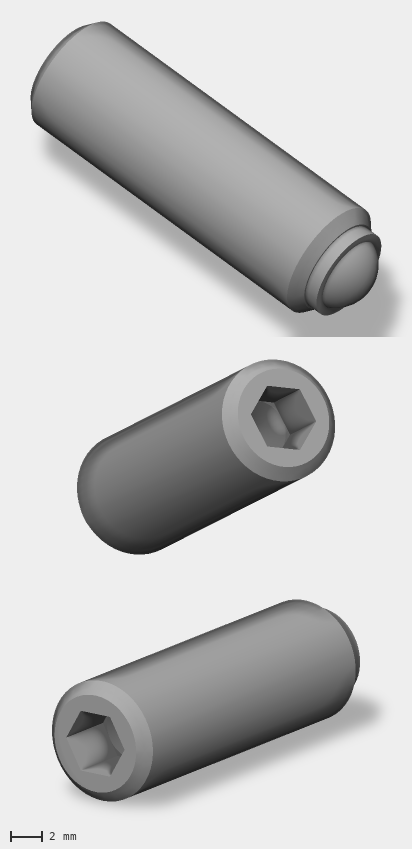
import cadquery as cq
import math

body_radius = 8.0 / 2
body_length = 23.65
end_chamfer = 0.77

collar_radius = 6.2 / 2
collar_length = 0.95
overall_length = 26.2
ball_radius = 5.55 / 2

socket_across_flats = 4.0
socket_depth = 4.0
drill_point_angle = 100.0


def make_screw():
    """Chamfered body, collar and exposed ball cap, revolved about the X axis."""
    end_face_radius = body_radius - end_chamfer
    collar_end = body_length + collar_length
    ball_center = overall_length - ball_radius

    ball_exit_radius = math.sqrt(ball_radius**2 - (collar_end - ball_center) ** 2)
    mid_angle = math.atan2(ball_exit_radius, collar_end - ball_center) / 2
    cap_middle = (
        ball_center + ball_radius * math.cos(mid_angle),
        ball_radius * math.sin(mid_angle),
    )

    half_profile = (
        cq.Workplane("XY")
        .moveTo(0, 0)
        .lineTo(0, end_face_radius)
        .lineTo(end_chamfer, body_radius)
        .lineTo(body_length - end_chamfer, body_radius)
        .lineTo(body_length, end_face_radius)
        .lineTo(body_length, collar_radius)
        .lineTo(collar_end, collar_radius)
        .lineTo(collar_end, ball_exit_radius)
        .threePointArc(cap_middle, (overall_length, 0))
        .close()
    )
    return half_profile.revolve(360, (0, 0, 0), (1, 0, 0))


def make_socket_hexagon():
    """Hexagonal recess with two corners on the Y axis."""
    across_corners = socket_across_flats / math.cos(math.pi / 6)
    return cq.Workplane("YZ").polygon(6, across_corners).extrude(socket_depth)


def make_socket_drill_point():
    """Cone at the bottom of the hexagon, as wide as its flats."""
    drill_radius = socket_across_flats / 2
    point_length = drill_radius / math.tan(math.radians(drill_point_angle / 2))
    return (
        cq.Workplane("XZ")
        .moveTo(socket_depth, 0)
        .lineTo(socket_depth, drill_radius)
        .lineTo(socket_depth + point_length, 0)
        .close()
        .revolve(360, (0, 0, 0), (1, 0, 0))
    )


result = make_screw().cut(make_socket_hexagon()).cut(make_socket_drill_point())